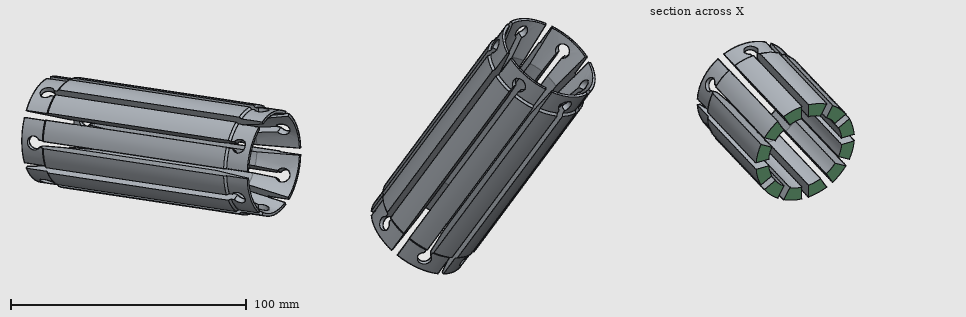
import cadquery as cq
import math

length = 110.4
body_radius = 23.6
collar_radius = 22.7
collar_length = 10.0
shoulder_length = 1.0

bore_radius = 17.4
mouth_radius = 21.5
flare_angle = 12.5
flare_length = (mouth_radius - bore_radius) / math.tan(math.radians(flare_angle))

slot_count = 12
slot_width = 3.1
relief_diameter = 6.1
relief_inset = 5.8

half_length = length / 2


def make_sleeve():
    """Revolve the wall section about the X axis."""
    collar_x = half_length - collar_length
    body_x = collar_x - shoulder_length
    bore_x = half_length - flare_length
    section = [
        (-half_length, mouth_radius),
        (-half_length, collar_radius),
        (-collar_x, collar_radius),
        (-body_x, body_radius),
        (body_x, body_radius),
        (collar_x, collar_radius),
        (half_length, collar_radius),
        (half_length, mouth_radius),
        (bore_x, bore_radius),
        (-bore_x, bore_radius),
    ]
    return cq.Workplane("XY").polyline(section).close().revolve(360, (0, 0, 0), (1, 0, 0))


def make_slot(angle, closed_side):
    """Radial slot through one wall, closed on the -X (-1) or +X (+1) side."""
    relief_x = closed_side * (half_length - relief_inset)
    open_x = -closed_side * half_length
    slot = (
        cq.Workplane("XY")
        .center((relief_x + open_x) / 2, 0)
        .rect(length - relief_inset, slot_width)
        .extrude(body_radius)
    )
    relief = cq.Workplane("XY").center(relief_x, 0).circle(relief_diameter / 2).extrude(body_radius)
    return slot.union(relief).rotate((0, 0, 0), (1, 0, 0), angle)


result = make_sleeve()
for index in range(slot_count):
    closed_side = 1 if index % 2 == 0 else -1
    result = result.cut(make_slot(index * 360 / slot_count, closed_side))